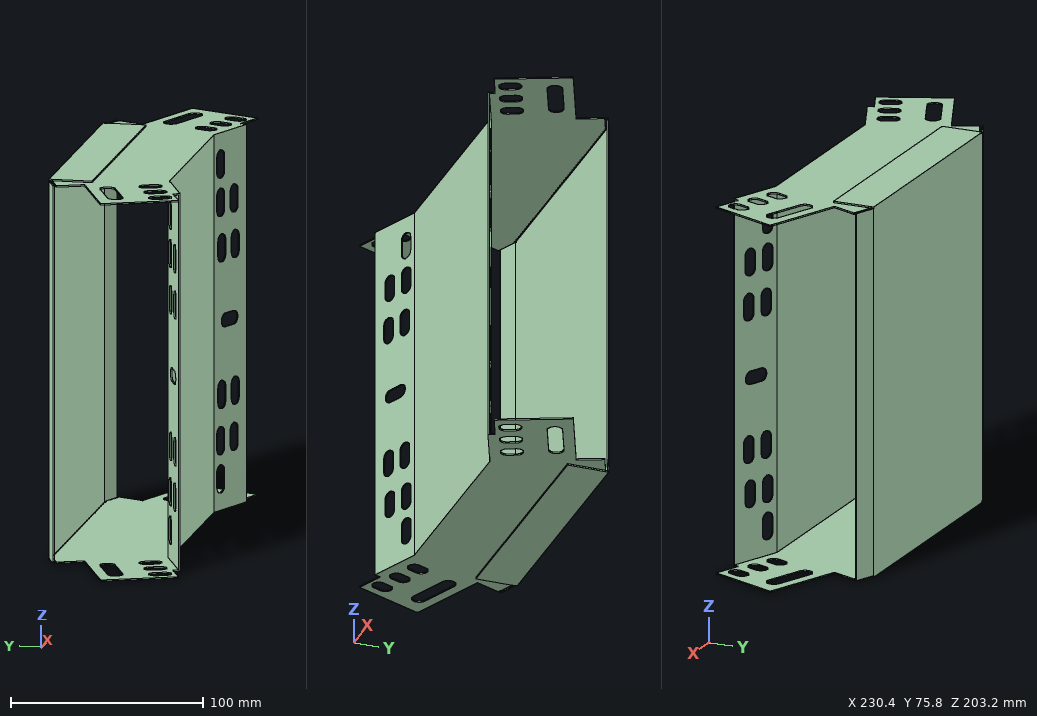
import cadquery as cq
import math

sheet = 0.8
cover_height = 203.2
bend_angle = 22.5

floor_half_width = 55.74
floor_wing_length = 30.0
channel_depth = 59.9
ear_end = 45.7
ear_low = 3.69
ear_high = 45.0

cover_setback = 61.7
cover_wing_length = 12.0
cover_flange_half_length = 67.7
cover_flange_depth = 23.0

slot_width = 7.2
wall_slot_length = 15.0
wall_slot_rows = [(6.3, 84.0, 1), (6.3, 63.6, 2), (7.3, 39.1, 2)]
wall_slot_pitch = 12.4
middle_slot_u = 14.5

ear_slot_length = 12.0
ear_slot_pitch = 13.57
ear_slot_first_u = 10.1
ear_slot_v = 11.9
ear_slot_count = 3
long_slot_length = 30.0
long_slot_width = 8.0
long_slot_u = 22.6
long_slot_v = 35.0

angle = math.radians(bend_angle)
half_bend = math.tan(angle / 2)
channel_height = cover_height - 2 * sheet
inner_height = channel_height - 2 * sheet
floor_y = -cover_setback
wall_cut_depth = 10 * sheet


def wing_point(u, v, side=1):
    """Point u along and v inward of a wing, measured from the outer floor bend."""
    x = floor_half_width + u * math.cos(angle) + v * math.sin(angle)
    y = floor_y - u * math.sin(angle) + v * math.cos(angle)
    return (side * x, y)


def bend_point(v):
    """Point on the bend line at distance v from the floor's outer face."""
    return (floor_half_width + v * half_bend, floor_y + v)


def mirrored_plate(right_points, height):
    """Extrude an outline, given by its right half, symmetrically about z = 0."""
    left_points = [(-x, y) for x, y in reversed(right_points)]
    outline = cq.Workplane("XY").polyline(right_points + left_points).close()
    return outline.extrude(height / 2, both=True)


def bent_strip(v_outer, v_inner, wing_end, height):
    """Sheet bent at both sides, between two distances from the floor's outer face."""
    points = [
        bend_point(v_outer),
        wing_point(wing_end, v_outer),
        wing_point(wing_end, v_inner),
        bend_point(v_inner),
    ]
    return mirrored_plate(points, height)


def flange_outline():
    """Right half of the channel flange, from the floor bend to the back edge."""
    return [
        bend_point(0),
        wing_point(floor_wing_length, 0),
        wing_point(floor_wing_length, ear_low),
        wing_point(ear_end, ear_low),
        wing_point(ear_end, ear_high),
        wing_point(0, ear_high),
        wing_point(0, channel_depth),
        bend_point(channel_depth),
    ]


def wall_slots(side):
    """Cutters for the slots through one wing of the floor."""
    x, y = wing_point(0, 0, side)
    plane = cq.Plane(
        origin=(x, y, 0),
        xDir=(side * math.cos(angle), -math.sin(angle), 0),
        normal=(-side * math.sin(angle), -math.cos(angle), 0),
    )
    upright = [
        (first_u + column * wall_slot_pitch, sign * z)
        for first_u, z, count in wall_slot_rows
        for column in range(count)
        for sign in (1, -1)
    ]
    slots = cq.Workplane(plane).pushPoints(upright).slot2D(wall_slot_length, slot_width, 90)
    middle = cq.Workplane(plane).center(middle_slot_u, 0).slot2D(wall_slot_length, slot_width)
    cutters = slots.extrude(wall_cut_depth / 2, both=True)
    return cutters.union(middle.extrude(wall_cut_depth / 2, both=True))


def ear_slots(side):
    """Cutters for the slots through both ears on one side."""
    along = -side * bend_angle
    centres = [
        wing_point(ear_slot_first_u + i * ear_slot_pitch, ear_slot_v, side)
        for i in range(ear_slot_count)
    ]
    short = cq.Workplane("XY").pushPoints(centres).slot2D(ear_slot_length, slot_width, along + 90)
    long = cq.Workplane("XY").pushPoints([wing_point(long_slot_u, long_slot_v, side)])
    long = long.slot2D(long_slot_length, long_slot_width, along)
    cutters = short.extrude(cover_height / 2, both=True)
    return cutters.union(long.extrude(cover_height / 2, both=True))


flanges = mirrored_plate(flange_outline(), channel_height).cut(
    mirrored_plate(flange_outline(), inner_height)
)
channel = bent_strip(0, sheet, floor_wing_length, channel_height).union(flanges)
for side in (1, -1):
    channel = channel.cut(wall_slots(side)).cut(ear_slots(side))


def cover_flange(end):
    """Flat flange lying on the channel flange at the top (end = 1) or bottom (end = -1)."""
    flange = cq.Workplane("XY").box(2 * cover_flange_half_length, cover_flange_depth, sheet)
    return flange.translate((0, -cover_flange_depth / 2, end * (cover_height - sheet) / 2))


cover_bend_u = -cover_setback * half_bend
cover_wing_end = cover_bend_u + cover_wing_length
cover = bent_strip(cover_setback, cover_setback - sheet, cover_wing_end, channel_height)
for end in (1, -1):
    cover = cover.union(cover_flange(end))

result = cq.Compound.makeCompound([channel.val(), cover.val()])